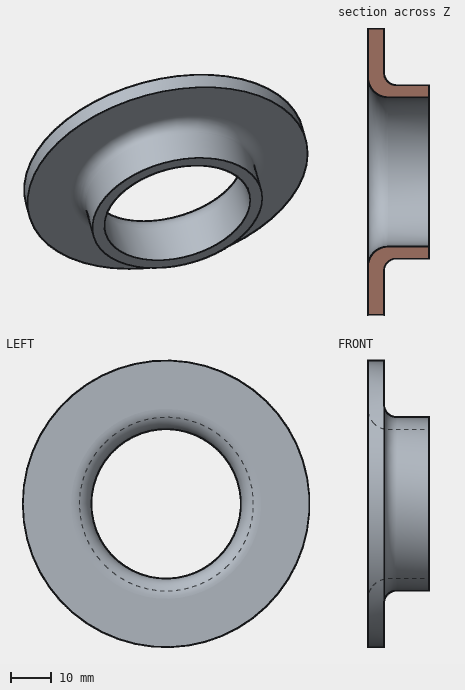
import cadquery as cq

flange_diameter = 70.0
flange_thickness = 4.0
total_length = 15.0

neck_diameter = 42.4
bore_diameter = 36.4

neck_root_radius = 3.0
bore_mouth_radius = 5.0

smallest_circle = cq.selectors.RadiusNthSelector(0)


def cylinder(diameter, length):
    """Solid cylinder along +X, starting at the flange face X = 0."""
    return cq.Workplane("YZ").circle(diameter / 2).extrude(length)


body = cylinder(flange_diameter, flange_thickness).union(cylinder(neck_diameter, total_length))
body = body.edges(smallest_circle).edges("<X").fillet(neck_root_radius)

body = body.cut(cylinder(bore_diameter, total_length))
result = body.faces("<X").edges(smallest_circle).fillet(bore_mouth_radius)